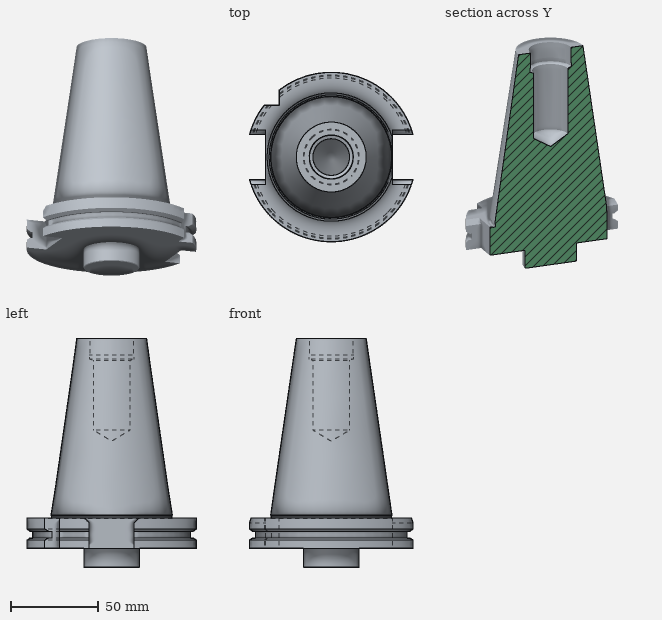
import cadquery as cq
import math

total_height = 131.6
flange_bottom = 11.0
flange_top = 28.5
gauge_height = 30.1

gauge_radius = 34.9
taper_ratio = 7 / 24
shank_top_radius = gauge_radius - (total_height - gauge_height) * taper_ratio / 2
neck_radius = 69.2 / 2
neck_height = 29.7

ring_outer_radius = 36.8
ring_wall_width = 1.2
ring_depth = 0.4

flange_radius = 48.7
groove_radius = 45.4
groove_bottom = 17.0
groove_top = 20.7
upper_lip_rise = 1.6
upper_lip_width = 2.1
lower_lip_rise = 1.2
lower_lip_width = 1.6

tail_radius = 32.0 / 2
tail_chamfer = 0.4

slot_width = 25.8
slot_chamfer = 2.8
left_slot_floor = 37.8
right_slot_floor = 35.1

notch_offset = 29.9

bore_radius = 25.0 / 2
bore_depth = 9.5
relief_radius = 25.4 / 2
relief_depth = 11.7
pilot_radius = 21.0 / 2
pilot_start = 12.6
pilot_depth = 52.6
drill_tip_angle = 118


def revolve_profile(points):
    """Turn a closed radius-height outline around the Z axis."""
    return cq.Workplane("XZ").polyline(points).close().revolve(360, (0, 0, 0), (0, 1, 0))


def turned_body():
    ring_floor = flange_top - ring_depth
    return revolve_profile([
        (0, 0),
        (tail_radius - tail_chamfer, 0),
        (tail_radius, tail_chamfer),
        (tail_radius, flange_bottom),
        (flange_radius, flange_bottom),
        (flange_radius, groove_bottom - lower_lip_rise),
        (flange_radius - lower_lip_width, groove_bottom),
        (groove_radius, groove_bottom),
        (groove_radius, groove_top),
        (flange_radius - upper_lip_width, groove_top),
        (flange_radius, groove_top + upper_lip_rise),
        (flange_radius, flange_top),
        (ring_outer_radius, flange_top),
        (ring_outer_radius - ring_wall_width, ring_floor),
        (neck_radius, ring_floor),
        (neck_radius, neck_height),
        (gauge_radius, gauge_height),
        (shank_top_radius, total_height),
        (0, total_height),
    ])


def stepped_bore():
    tip_length = pilot_radius / math.tan(math.radians(drill_tip_angle / 2))
    return revolve_profile([
        (0, total_height),
        (bore_radius, total_height),
        (bore_radius, total_height - bore_depth),
        (relief_radius, total_height - bore_depth),
        (relief_radius, total_height - relief_depth),
        (pilot_radius, total_height - pilot_start),
        (pilot_radius, total_height - pilot_depth),
        (0, total_height - pilot_depth - tip_length),
    ])


def drive_slot(side, floor):
    """Slot through the flange on the +X (side 1) or -X (side -1) rim, widened at its top edges."""
    half = slot_width / 2
    wide = half + slot_chamfer
    chamfer_bottom = flange_top - slot_chamfer
    outline = [
        (-half, flange_bottom),
        (half, flange_bottom),
        (half, chamfer_bottom),
        (wide, flange_top),
        (-wide, flange_top),
        (-half, chamfer_bottom),
    ]
    return (
        cq.Workplane("YZ", origin=(side * floor, 0, 0))
        .polyline(outline).close()
        .extrude(side * flange_radius)
    )


def corner_notch():
    """Square notch through the full flange thickness at the -X, +Y rim."""
    return (
        cq.Workplane("XY", origin=(-notch_offset, notch_offset, flange_bottom))
        .rect(-flange_radius, flange_radius, centered=False)
        .extrude(flange_top - flange_bottom)
    )


result = (
    turned_body()
    .cut(stepped_bore())
    .cut(drive_slot(-1, left_slot_floor))
    .cut(drive_slot(1, right_slot_floor))
    .cut(corner_notch())
)